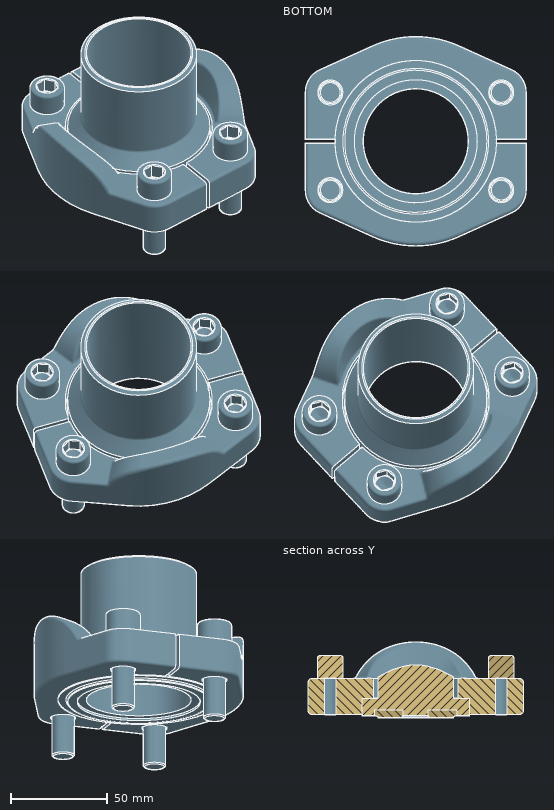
import cadquery as cq
import math

TOTAL_HEIGHT_ABOVE_SEAL = 71.0

tube_outer_radius = 60.3 / 2
tube_bore_radius = 54.5 / 2
tube_land_outer_radius = 28.1
weld_bevel_height = 1.2
head_radius = 84.1 / 2
head_bottom_z = 1.1
head_top_z = 10.3
neck_radius = 74.0 / 2
neck_top_z = 21.3
cone_top_z = 29.0
cone_blend_radius = 1.2

seal_inner_radius = 64.0 / 2
seal_outer_radius = 74.0 / 2
seal_foot_radius = 75.8 / 2
seal_lip_height = 0.5
seal_top_z = 4.0

clamp_half_length = 115.0 / 2
clamp_half_width = 109.0 / 2
clamp_bottom_z = 1.6
clamp_top_z = 20.6
clamp_gap = 2.0
clamp_bore_radius = 76.5 / 2
edge_round = 2.0

arch_outer_half_span = 37.3
arch_outer_top_z = 39.9
arch_inner_y = 26.0
arch_inner_half_span = 21.8
arch_inner_top_z = 35.5
arch_relief_radius = 40.0
arch_relief_angle = math.radians(13.2)
arch_ridge_round = 1.8

screw_x = 88.9 / 2
screw_y = 50.8 / 2
screw_hole_radius = 13.0 / 2
shank_radius = 11.7 / 2
shank_length = 40.0
shank_tip_chamfer = 0.7
screw_head_radius = 18.0 / 2
screw_head_height = 12.0
screw_head_round = 1.5
socket_across_flats = 10.0
socket_depth = 8.0
socket_turn = 35.0
socket_tip_angle = math.radians(30.0)

TOLERANCE = 1e-3
corner_radius = clamp_half_length - screw_x


def revolve_profile(points):
    """Solid of revolution about Z from (radius, z) points."""
    return cq.Workplane("XZ").polyline(points).close().revolve(360, (0, 0, 0), (0, 1, 0))


def circle_at(radius, z):
    """Selector for the edge circle of this radius about Z at this height."""
    reach = radius + TOLERANCE
    return cq.selectors.BoxSelector(
        (-reach, -reach, z - TOLERANCE), (reach, reach, z + TOLERANCE), boundingbox=True)


def make_flange():
    top = TOTAL_HEIGHT_ABOVE_SEAL
    body = revolve_profile([
        (tube_bore_radius, head_bottom_z),
        (head_radius, head_bottom_z),
        (head_radius, head_top_z),
        (neck_radius, head_top_z),
        (neck_radius, neck_top_z),
        (tube_outer_radius, cone_top_z),
        (tube_outer_radius, top - weld_bevel_height),
        (tube_land_outer_radius, top),
        (tube_bore_radius, top),
    ])
    body = body.edges(circle_at(tube_outer_radius, cone_top_z)).fillet(cone_blend_radius)
    groove = revolve_profile([
        (seal_inner_radius, head_bottom_z),
        (seal_foot_radius, head_bottom_z),
        (seal_foot_radius, seal_top_z),
        (seal_inner_radius, seal_top_z),
    ])
    return body.cut(groove)


def make_seal():
    return revolve_profile([
        (seal_inner_radius, 0),
        (seal_outer_radius, 0),
        (seal_outer_radius, seal_lip_height),
        (seal_foot_radius, head_bottom_z),
        (seal_foot_radius, seal_top_z),
        (seal_inner_radius, seal_top_z),
    ])


def clamp_outline():
    """Half outline on the +Y side: crown arc, slanted flanks and screw-centred corner arcs."""
    normal = math.atan2(screw_y, screw_x) + math.acos(
        (clamp_half_width - corner_radius) / math.hypot(screw_x, screw_y))
    corner_mid = normal / 2

    def on_corner(angle):
        return (screw_x + corner_radius * math.cos(angle), screw_y + corner_radius * math.sin(angle))

    crown_end = (clamp_half_width * math.cos(normal), clamp_half_width * math.sin(normal))

    def mirrored(point):
        return (-point[0], point[1])

    return (
        cq.Workplane("XY").workplane(offset=clamp_bottom_z)
        .moveTo(-clamp_half_length, 0)
        .lineTo(clamp_half_length, 0)
        .lineTo(clamp_half_length, screw_y)
        .threePointArc(on_corner(corner_mid), on_corner(normal))
        .lineTo(*crown_end)
        .threePointArc((0, clamp_half_width), mirrored(crown_end))
        .lineTo(*mirrored(on_corner(normal)))
        .threePointArc(mirrored(on_corner(corner_mid)), (-clamp_half_length, screw_y))
        .close()
    )


def arch_section(y, half_span, top_z):
    """Closed wire at constant y: straight base at the clamp top, circular arch above it."""
    base = cq.Vector(-half_span, y, clamp_top_z), cq.Vector(half_span, y, clamp_top_z)
    arc = cq.Edge.makeThreePointArc(base[0], cq.Vector(0, y, top_z), base[1])
    return cq.Wire.assembleEdges([arc, cq.Edge.makeLine(base[1], base[0])])


def make_arch():
    sections = [
        arch_section(clamp_half_width, arch_outer_half_span, arch_outer_top_z),
        arch_section(arch_inner_y, arch_inner_half_span, arch_inner_top_z),
    ]
    loft = cq.Workplane(obj=cq.Solid.makeLoft(sections, True))
    wall = clamp_outline().extrude(arch_outer_top_z)
    relief_top_z = arch_outer_top_z + 1
    relief_top_radius = arch_relief_radius + (relief_top_z - clamp_top_z) * math.tan(arch_relief_angle)
    relief = revolve_profile([
        (0, clamp_top_z), (arch_relief_radius, clamp_top_z),
        (relief_top_radius, relief_top_z), (0, relief_top_z)])
    return loft.intersect(wall).cut(relief)


def is_ridge(edge):
    """Upper edge of the arch, where its roof meets the conical relief."""
    box = edge.BoundingBox()
    spans_middle = abs(box.xmin + box.xmax) < TOLERANCE
    rises_inside = box.zmax > clamp_top_z + edge_round and box.ymax < clamp_half_width - 2 * edge_round
    return spans_middle and rises_inside


def is_rim_or_foot(edge):
    """Rims of the plate and arch and the foot of the arch; not uprights, split face or ridge."""
    box = edge.BoundingBox()
    is_upright = box.xlen < TOLERANCE and box.ylen < TOLERANCE
    on_split_face = box.ymax < TOLERANCE
    return not (is_upright or on_split_face or is_ridge(edge))


def make_clamp_half():
    """Clamp half on the +Y side."""
    thickness = clamp_top_z - clamp_bottom_z
    body = clamp_outline().extrude(thickness).union(make_arch())
    body = body.edges().filter(is_rim_or_foot).fillet(edge_round)
    body = body.edges().filter(is_ridge).fillet(arch_ridge_round)

    bore = revolve_profile([
        (0, clamp_bottom_z),
        (head_radius, clamp_bottom_z),
        (head_radius, head_top_z),
        (clamp_bore_radius, head_top_z),
        (clamp_bore_radius, arch_outer_top_z),
        (0, arch_outer_top_z),
    ])
    holes = (
        cq.Workplane("XY").workplane(offset=clamp_bottom_z)
        .pushPoints([(-screw_x, screw_y), (screw_x, screw_y)])
        .circle(screw_hole_radius).extrude(thickness)
    )
    split = cq.Workplane("XY").box(
        2 * clamp_half_length, clamp_gap, 2 * arch_outer_top_z)
    return body.cut(bore).cut(holes).cut(split)


def make_screw(x, y):
    seat = cq.Workplane("XY").workplane(offset=clamp_top_z)
    head = seat.circle(screw_head_radius).extrude(screw_head_height).faces(">Z").edges().fillet(screw_head_round)
    shank = seat.circle(shank_radius).extrude(-shank_length).faces("<Z").chamfer(shank_tip_chamfer)

    head_top_z = clamp_top_z + screw_head_height
    floor_z = head_top_z - socket_depth
    flat_radius = socket_across_flats / 2
    corner_reach = flat_radius / math.cos(math.radians(30))
    socket = (
        cq.Workplane("XY").workplane(offset=floor_z)
        .polygon(6, 2 * corner_reach).extrude(socket_depth)
        .rotate((0, 0, 0), (0, 0, 1), socket_turn)
    )
    countersink_depth = (corner_reach - flat_radius) * math.tan(socket_tip_angle)
    countersink = revolve_profile([
        (0, head_top_z), (corner_reach, head_top_z),
        (flat_radius, head_top_z - countersink_depth), (0, head_top_z - countersink_depth)])
    tip = revolve_profile([
        (0, floor_z), (flat_radius, floor_z), (0, floor_z - flat_radius * math.tan(socket_tip_angle))])
    screw = head.union(shank).cut(socket).cut(countersink).cut(tip)
    return screw.translate((x, y, 0))


flange = make_flange()
seal = make_seal()
clamp_half = make_clamp_half()
clamp_halves = [clamp_half.rotate((0, 0, 0), (0, 0, 1), angle) for angle in (0, 180)]
screws = [make_screw(x, y) for x in (-screw_x, screw_x) for y in (-screw_y, screw_y)]

result = cq.Compound.makeCompound([
    flange.val(),
    seal.val(),
    *[half.val() for half in clamp_halves],
    *[screw.val() for screw in screws],
])